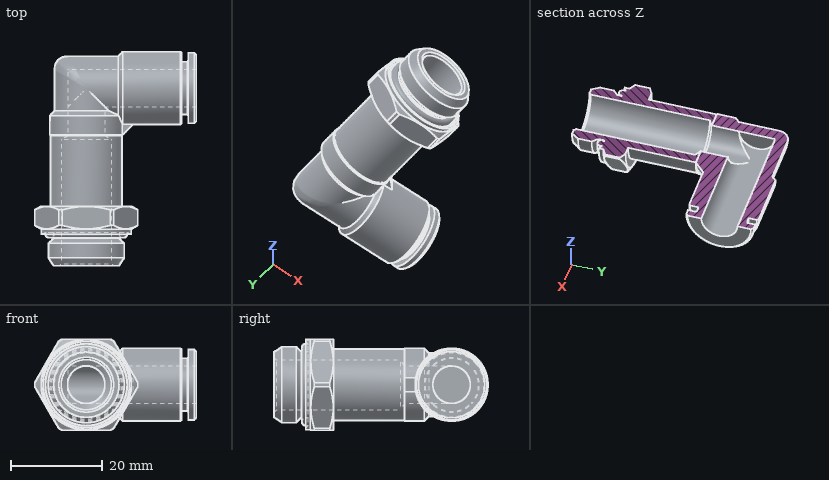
import cadquery as cq
import math


arm_radius = 7.0
corner_round = 3.0
shoulder_chamfer = 1.0
sleeve_radius = arm_radius + shoulder_chamfer

collar_start = 5.0
collar_edge = 10.2
joint = 10.4
joint_radius = 7.6

sleeve_start = arm_radius
sleeve_end = 20.95
sleeve_edge_chamfer = 0.35

neck_radius = 5.8
button_start = 22.3
button_end = 24.1
button_radius = 7.75
button_chamfer = 0.5
button_root_chamfer = 0.2

gusset_thickness = 3.0

stem_radius = 7.85
hex_across_flats = 20.0
hex_corner_radius = 11.3
hex_chamfer_radius = 9.83
hex_chamfer_angle = 30.0
hex_start = 25.8
hex_end = 30.9
flange_radius = 9.9
flange_end = 31.95

seal_section_radius = 0.9
seal_outer_radius = 9.0
seal_centre = 31.9
seat_mouth_radius = 9.45

thread_root_radius = 7.17
thread_radius = 8.33
thread_start = 32.85
thread_full_start = 34.0
thread_full_end = 37.15
stem_end = 38.9

bore_radius = 4.1
stem_bore_radius = 5.5
mouth_radius = 6.0
bore_cone_angle = 30.0
bore_cone_length = (stem_bore_radius - bore_radius) * math.tan(math.radians(bore_cone_angle))


def turned_along_x(profile):
    """Solid of revolution about X from (distance, radius) points."""
    return cq.Workplane("XY").polyline(profile).close().revolve(360, (0, 0, 0), (1, 0, 0))


def turned_along_stem(profile):
    """Solid of revolution about Y from (distance towards -Y, radius) points."""
    points = [(radius, -distance) for distance, radius in profile]
    return cq.Workplane("XY").polyline(points).close().revolve(360, (0, 0, 0), (0, 1, 0))


def make_corner():
    """Mitred outer corner, rounded by an ellipsoid that is tangent to both arms."""
    tangent = arm_radius - corner_round
    length_x = cq.Workplane("YZ").circle(arm_radius).extrude(-arm_radius)
    length_y = cq.Workplane("XZ").circle(arm_radius).extrude(-arm_radius)
    mitre = length_x.intersect(length_y)

    reach = 2 * arm_radius / tangent
    wedge = (
        cq.Workplane("XY")
        .polyline([
            (0, 0),
            (-tangent * reach, arm_radius * reach),
            (-arm_radius * reach, arm_radius * reach),
            (-arm_radius * reach, tangent * reach),
        ])
        .close()
        .extrude(2 * arm_radius, both=True)
    )

    semi_long = math.sqrt(arm_radius * (arm_radius + tangent))
    semi_short = math.sqrt(arm_radius * (arm_radius - tangent))
    diagonal = math.sqrt(0.5)
    stretch = cq.Matrix([
        [semi_long * diagonal, 0, -semi_short * diagonal, 0],
        [-semi_long * diagonal, 0, -semi_short * diagonal, 0],
        [0, arm_radius, 0, 0],
    ])
    ellipsoid = cq.Workplane("XY").sphere(1).val().transformGeometry(stretch)
    rounded = wedge.intersect(cq.Workplane(obj=ellipsoid))
    return mitre.cut(wedge).union(rounded)


def make_socket():
    """Horizontal arm, sleeve and release button."""
    return turned_along_x([
        (0, 0),
        (0, arm_radius),
        (sleeve_start, arm_radius),
        (sleeve_start + shoulder_chamfer, sleeve_radius),
        (sleeve_end - sleeve_edge_chamfer, sleeve_radius),
        (sleeve_end, sleeve_radius - sleeve_edge_chamfer),
        (sleeve_end, neck_radius),
        (button_start - button_root_chamfer, neck_radius),
        (button_start, neck_radius + button_root_chamfer),
        (button_start, button_radius),
        (button_end - button_chamfer, button_radius),
        (button_end, button_radius - button_chamfer),
        (button_end, 0),
    ])


def make_collar_arm():
    """Arm along -Y with the collar that bears on the stem."""
    return turned_along_stem([
        (0, 0),
        (0, arm_radius),
        (collar_start, arm_radius),
        (collar_start + shoulder_chamfer, sleeve_radius),
        (collar_edge, sleeve_radius),
        (joint, joint_radius),
        (joint, 0),
    ])


def make_gusset():
    """Thin 45 degree web between the collar and the sleeve."""
    tip = collar_edge
    return (
        cq.Workplane("XY")
        .polyline([
            (arm_radius, -arm_radius),
            (tip, -arm_radius),
            (tip, -sleeve_radius),
            (sleeve_radius, -tip),
            (arm_radius, -tip),
        ])
        .close()
        .extrude(gusset_thickness / 2, both=True)
    )


def make_elbow_bore():
    """Two equal bores that meet below the rounded corner."""
    along_x = cq.Workplane("YZ", origin=(-bore_radius, 0, 0)).circle(bore_radius)
    along_y = cq.Workplane("XZ").circle(bore_radius)
    return along_x.extrude(bore_radius + button_end).union(along_y.extrude(joint))


elbow = (
    make_socket()
    .union(make_collar_arm())
    .union(make_corner())
    .union(make_gusset())
    .cut(make_elbow_bore())
)


def make_hexagon():
    """Hexagon with two flats facing +-Z and all corners turned down."""
    across_corners = hex_across_flats / math.cos(math.radians(30))
    prism = (
        cq.Workplane("XZ", origin=(0, -hex_start, 0))
        .polygon(6, across_corners)
        .extrude(hex_end - hex_start)
    )
    drop = (hex_corner_radius - hex_chamfer_radius) * math.tan(math.radians(hex_chamfer_angle))
    turning = turned_along_stem([
        (hex_start, 0),
        (hex_start, hex_chamfer_radius),
        (hex_start + drop, hex_corner_radius),
        (hex_end - drop, hex_corner_radius),
        (hex_end, hex_chamfer_radius),
        (hex_end, 0),
    ])
    return prism.intersect(turning)


def make_stem_body():
    """Tube, flange with its 45 degree seal seat, and threaded end, without the hexagon."""
    seat_floor = flange_end - (seat_mouth_radius - seal_outer_radius)
    return turned_along_stem([
        (joint, 0),
        (joint, stem_radius),
        (hex_start, stem_radius),
        (hex_end, stem_radius),
        (hex_end, flange_radius),
        (flange_end, flange_radius),
        (flange_end, seat_mouth_radius),
        (seat_floor, seal_outer_radius),
        (seat_floor, thread_root_radius),
        (thread_start, thread_root_radius),
        (thread_full_start, thread_radius),
        (thread_full_end, thread_radius),
        (stem_end, thread_root_radius),
        (stem_end, 0),
    ])


def make_seal():
    """Seal ring seated against the flange."""
    ring_radius = seal_outer_radius - seal_section_radius
    section = cq.Workplane("XY").moveTo(ring_radius, -seal_centre).circle(seal_section_radius)
    return section.revolve(360, (0, 0, 0), (0, 1, 0))


def make_stem_bore():
    """Wide bore from the mouth that cones down to the elbow bore at the joint."""
    return turned_along_stem([
        (joint, 0),
        (joint, bore_radius),
        (joint + bore_cone_length, stem_bore_radius),
        (stem_end - (mouth_radius - stem_bore_radius), stem_bore_radius),
        (stem_end, mouth_radius),
        (stem_end, 0),
    ])


stem = (
    make_stem_body()
    .union(make_hexagon())
    .union(make_seal())
    .cut(make_stem_bore())
)

result = cq.Compound.makeCompound([elbow.val(), stem.val()])